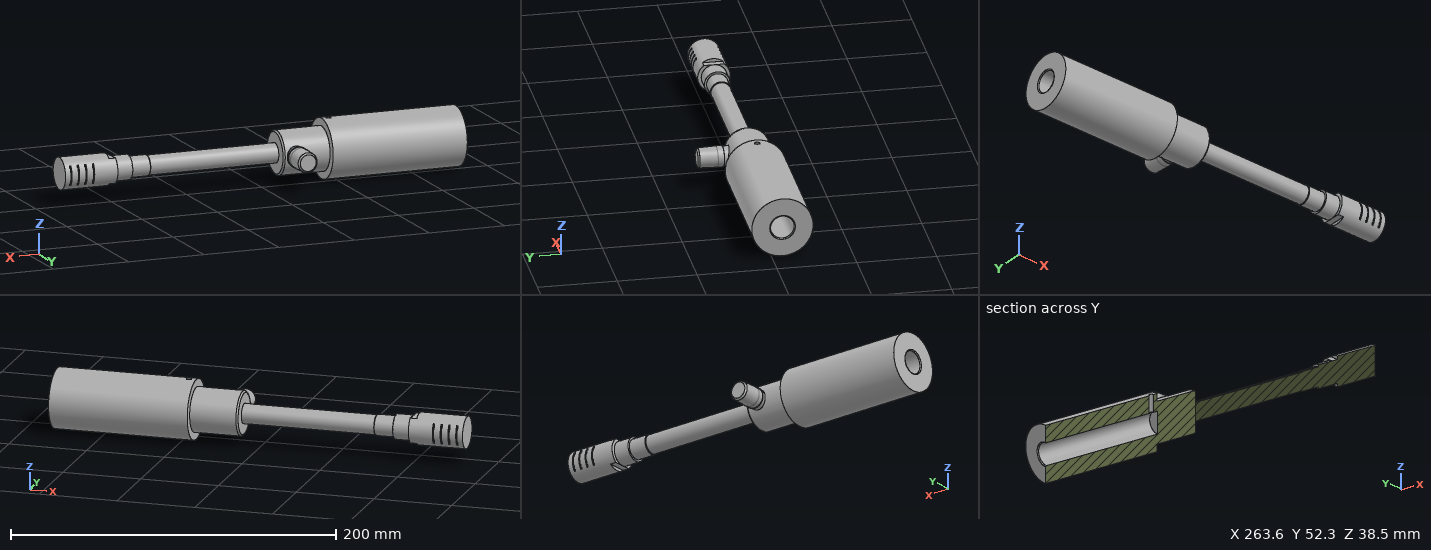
import cadquery as cq

total_length = 263.6

head_diameter = 38.5
head_length = 89.5
neck_diameter = 28.5
neck_end = 120.2
neck_chamfer = 1.0
bore_diameter = 14.8
bore_mouth_diameter = 16.0
bore_depth = head_length
screw_hole_diameter = 3.2
screw_hole_x = 84.5

fitting_x = 111.5
fitting_end_y = 33.0
fitting_diameter = 12.7
fitting_seat_y = 10.5
collar_diameter = 13.5
collar_start_y = 16.5
collar_end_y = 20.5
fitting_chamfer = 1.0

cable_diameter = 12.7
boot_diameter = 13.5
boot_start = 205.5
boot_chamfer = 0.4
ferrule_diameter = 16.0
ferrule_start = 218.0
plug_diameter = 20.5
plug_start = 228.8
flat_length = 4.2
groove_count = 4
groove_pitch = 5.0
groove_width = 0.8
last_groove_x = 259.7
groove_offset = 8.2

flat_offset = ferrule_diameter / 2


def cylinder_x(start, end, diameter):
    """A cylinder on the main axis."""
    return cq.Workplane("YZ").workplane(offset=start).circle(diameter / 2).extrude(end - start)


def plug_cut(center_x, width, inner_offset):
    """Two slabs, above and below the plug, that reach in to the inner offset from the axis."""
    depth = plug_diameter - inner_offset
    slab = cq.Workplane("XY").box(width, 2 * plug_diameter, depth)
    offset = inner_offset + depth / 2
    upper = slab.translate((center_x, 0, offset))
    lower = slab.translate((center_x, 0, -offset))
    return upper.union(lower)


def make_fitting():
    """The side fitting, turned about its own axis: a radius and Y outline revolved."""
    shank_radius = fitting_diameter / 2
    collar_radius = collar_diameter / 2
    outline = (
        cq.Workplane("XY")
        .moveTo(0, fitting_seat_y)
        .lineTo(shank_radius, fitting_seat_y)
        .lineTo(shank_radius, collar_start_y)
        .lineTo(collar_radius, collar_start_y)
        .lineTo(collar_radius, collar_end_y)
        .lineTo(shank_radius, fitting_end_y - fitting_chamfer)
        .lineTo(shank_radius - fitting_chamfer, fitting_end_y)
        .lineTo(0, fitting_end_y)
        .close()
    )
    return outline.revolve(360, (0, 0, 0), (0, 1, 0)).translate((fitting_x, 0, 0))


def make_housing(fitting):
    """The head and neck, with the bore, the screw hole and the seat of the side fitting."""
    neck = cylinder_x(head_length, neck_end, neck_diameter).faces(">X").chamfer(neck_chamfer)
    bore = cylinder_x(0, bore_depth, bore_diameter)
    mouth_chamfer = (bore_mouth_diameter - bore_diameter) / 2
    screw_hole = (
        cq.Workplane("XY")
        .center(screw_hole_x, 0)
        .circle(screw_hole_diameter / 2)
        .extrude(head_diameter)
    )
    housing = cylinder_x(0, head_length, head_diameter).union(neck).cut(bore)
    mouth_edge = housing.faces("<X").edges(cq.selectors.RadiusNthSelector(0))
    housing = mouth_edge.chamfer(mouth_chamfer)
    return housing.cut(screw_hole).cut(fitting)


def make_cable():
    """The cable and its plug, butted against the end of the neck."""
    cable = cylinder_x(neck_end, boot_start, cable_diameter)
    boot = cylinder_x(boot_start, ferrule_start, boot_diameter).faces("<X").chamfer(boot_chamfer)
    ferrule = cylinder_x(ferrule_start, plug_start, ferrule_diameter)
    plug = cylinder_x(plug_start, total_length, plug_diameter)

    plug = plug.cut(plug_cut(plug_start + flat_length / 2, flat_length, flat_offset))

    for index in range(groove_count):
        groove = plug_cut(last_groove_x - index * groove_pitch, groove_width, groove_offset)
        plug = plug.cut(groove.rotate((0, 0, 0), (1, 0, 0), 90))

    return cable.union(boot).union(ferrule).union(plug)


side_fitting = make_fitting()
housing = make_housing(side_fitting)
cable = make_cable()

result = cq.Compound.makeCompound([housing.val(), side_fitting.val(), cable.val()])